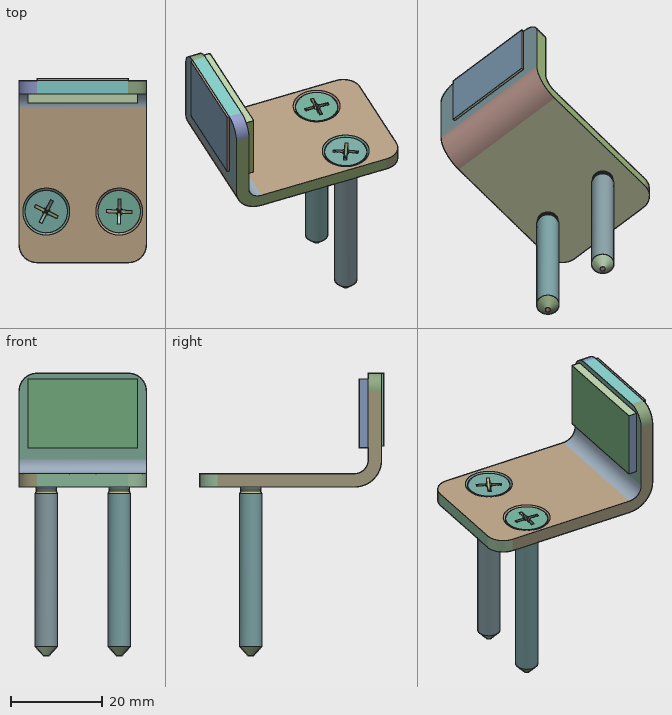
import cadquery as cq
import math

width = 28.0
thickness = 3.0
bend_inner_radius = 3.0
bend_outer_radius = bend_inner_radius + thickness
base_length = 40.0
upright_height = 25.05
corner_radius = 4.0

back_y = base_length
face_y = back_y - thickness
base_bottom_z = -thickness
top_z = base_bottom_z + upright_height

pad_width = 24.1
pad_height = 15.15
pad_thickness = 2.0
pad_top_gap = 1.25
plate_width = width - 2 * corner_radius
plate_height = 16.0
plate_thickness = 0.5

screw_spacing = 16.0
screw_y = 11.25
screw_turns = (-27, -2)
head_diameter = 9.3
head_recess = 0.2
seat_diameter = 10.3
neck_diameter = 4.55
relief_diameter = 4.4
shank_diameter = 5.0
tip_diameter = 1.1
tip_length = 2.1
neck_exposed_length = 0.45
relief_length = 0.45
shank_taper_length = 0.55
overall_height = 62.1

head_top_z = -head_recess
head_rim_z = -(seat_diameter - head_diameter) / 2
head_bottom_z = -(seat_diameter - neck_diameter) / 2
neck_end_z = base_bottom_z - neck_exposed_length
relief_end_z = neck_end_z - relief_length
shank_top_z = relief_end_z - shank_taper_length
tip_z = top_z - overall_height

cross_diameter = 5.5
cross_floor_diameter = 2.35
cross_arm_width = 0.7
cross_floor_depth = 1.25
cross_depth = 1.75
cross_core_diameter = 1.6


def make_bracket():
    bend_y = back_y - bend_outer_radius
    bend_z = base_bottom_z + bend_outer_radius
    diagonal = math.sqrt(0.5)
    profile = (
        cq.Workplane("YZ")
        .moveTo(0, base_bottom_z)
        .lineTo(bend_y, base_bottom_z)
        .threePointArc(
            (bend_y + bend_outer_radius * diagonal, bend_z - bend_outer_radius * diagonal),
            (back_y, bend_z),
        )
        .lineTo(back_y, top_z)
        .lineTo(face_y, top_z)
        .lineTo(face_y, bend_z)
        .threePointArc(
            (bend_y + bend_inner_radius * diagonal, bend_z - bend_inner_radius * diagonal),
            (bend_y, 0),
        )
        .lineTo(0, 0)
        .close()
    )
    sheet = profile.extrude(width / 2, both=True)
    sheet = sheet.faces("<Y").edges("|Z").fillet(corner_radius)
    sheet = sheet.faces(">Z").edges("|Y").fillet(corner_radius)
    for x in screw_xs:
        sheet = sheet.cut(make_screw_seat().translate((x, screw_y, 0)))
    return sheet


def make_screw_seat():
    """A 90 degree cone, slightly wider at its mouth than the screw head, and a neck hole."""
    return (
        cq.Workplane("XZ")
        .moveTo(0, 0)
        .lineTo(seat_diameter / 2, 0)
        .lineTo(neck_diameter / 2, head_bottom_z)
        .lineTo(neck_diameter / 2, base_bottom_z)
        .lineTo(0, base_bottom_z)
        .close()
        .revolve(360, (0, 0), (0, 1))
    )


def make_cross_recess():
    """Two crossed slots with sloping ends around a conical core, top at Z = 0."""
    slot = (
        cq.Workplane("XZ")
        .moveTo(-cross_diameter / 2, 0)
        .lineTo(cross_diameter / 2, 0)
        .lineTo(cross_floor_diameter / 2, -cross_floor_depth)
        .lineTo(0, -cross_depth)
        .lineTo(-cross_floor_diameter / 2, -cross_floor_depth)
        .close()
        .extrude(cross_arm_width / 2, both=True)
    )
    core = (
        cq.Workplane("XZ")
        .moveTo(0, 0)
        .lineTo(cross_core_diameter / 2, 0)
        .lineTo(0, -cross_depth)
        .close()
        .revolve(360, (0, 0), (0, 1))
    )
    crossing_slot = slot.rotate((0, 0, 0), (0, 0, 1), 90)
    return slot.union(crossing_slot).union(core)


def make_screw(x, turn):
    body = (
        cq.Workplane("XZ")
        .moveTo(0, head_top_z)
        .lineTo(head_diameter / 2, head_top_z)
        .lineTo(head_diameter / 2, head_rim_z)
        .lineTo(neck_diameter / 2, head_bottom_z)
        .lineTo(neck_diameter / 2, neck_end_z)
        .lineTo(relief_diameter / 2, neck_end_z)
        .lineTo(relief_diameter / 2, relief_end_z)
        .lineTo(shank_diameter / 2, shank_top_z)
        .lineTo(shank_diameter / 2, tip_z + tip_length)
        .lineTo(tip_diameter / 2, tip_z)
        .lineTo(0, tip_z)
        .close()
        .revolve(360, (0, 0), (0, 1))
    )
    recess = make_cross_recess().rotate((0, 0, 0), (0, 0, 1), turn)
    body = body.cut(recess.translate((0, 0, head_top_z)))
    return body.translate((x, screw_y, 0))


def make_front_pad():
    pad_bottom_z = top_z - pad_top_gap - pad_height
    return (
        cq.Workplane("XY")
        .box(pad_width, pad_thickness, pad_height, centered=(True, False, False))
        .translate((0, face_y - pad_thickness, pad_bottom_z))
    )


def make_rear_plate():
    return (
        cq.Workplane("XY")
        .box(plate_width, plate_thickness, plate_height, centered=(True, False, False))
        .translate((0, back_y, top_z - plate_height))
    )


screw_xs = (-screw_spacing / 2, screw_spacing / 2)

bracket = make_bracket()
front_pad = make_front_pad()
rear_plate = make_rear_plate()
screws = [make_screw(x, turn) for x, turn in zip(screw_xs, screw_turns)]

result = cq.Compound.makeCompound(
    [bracket.val(), front_pad.val(), rear_plate.val(), *[screw.val() for screw in screws]]
)